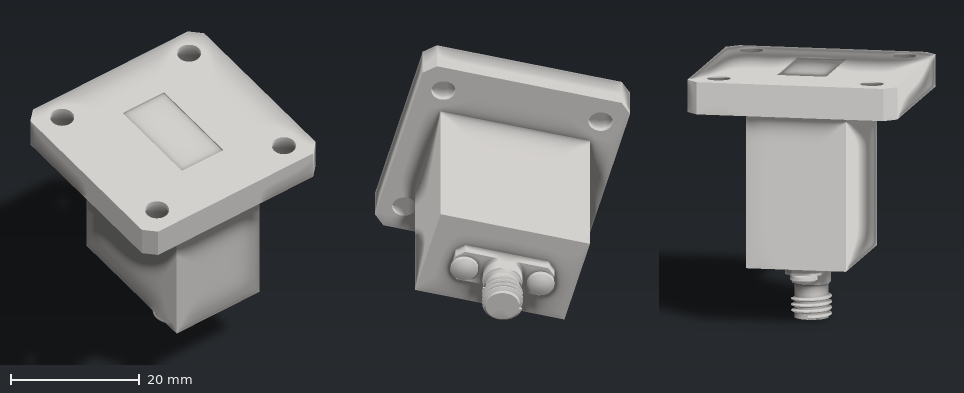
import cadquery as cq

FLANGE_SIDE = 33.35
FLANGE_THICKNESS = 5.1
FLANGE_CORNER = 1.8
HOLE_DIAMETER = 3.75
HOLE_SPACING_X = 25.28
HOLE_SPACING_Y = 24.35

OPENING_LENGTH = 15.8
OPENING_WIDTH = 7.9
OPENING_DEPTH = 0.28

BLOCK_LENGTH = 24.0
BLOCK_WIDTH = 15.88
BLOCK_HEIGHT = 24.9

PLATE_LENGTH = 15.88
PLATE_WIDTH = 5.7
PLATE_THICKNESS = 1.65
PLATE_CORNER = 1.25
SCREW_SPACING = 12.25
SCREW_RADIUS = 2.15
SCREW_RIM_HEIGHT = 0.83
SCREW_DOME_HEIGHT = 0.75
SCREW_CHAMFER = 0.2

TOTAL_HEIGHT = 39.5
BOSS_RADIUS = 3.1
BOSS_HEIGHT = 2.3
BARREL_RADIUS = 2.65
NECK_RADIUS = BOSS_RADIUS - BARREL_RADIUS
FLARE_SIZE = 0.2

THREAD_RADIUS = 3.15
THREAD_RISE = 3.25
THREAD_TURNS = 3.5
THREAD_ROOT_WIDTH = 0.67
THREAD_CREST_WIDTH = 0.15
THREAD_START_ANGLE = 180
THREAD_START = 0.35
THREAD_OVERLAP = 0.1
FUSE_TOLERANCE = 0.001

BLOCK_TOP = -FLANGE_THICKNESS
PLATE_TOP = BLOCK_TOP - BLOCK_HEIGHT
PLATE_BOTTOM = PLATE_TOP - PLATE_THICKNESS
BOSS_BOTTOM = PLATE_BOTTOM - BOSS_HEIGHT
BARREL_END = -TOTAL_HEIGHT


def slab(length, width, top, height):
    """Centred rectangular block hanging down from the given level."""
    return cq.Workplane("XY", origin=(0, 0, top)).rect(length, width).extrude(-height)


def make_flange():
    flange = slab(FLANGE_SIDE, FLANGE_SIDE, 0, FLANGE_THICKNESS)
    flange = flange.edges("|Z").chamfer(FLANGE_CORNER)
    holes = (
        cq.Workplane("XY")
        .rect(HOLE_SPACING_X, HOLE_SPACING_Y, forConstruction=True)
        .vertices()
        .circle(HOLE_DIAMETER / 2)
        .extrude(-FLANGE_THICKNESS)
    )
    opening = slab(OPENING_LENGTH, OPENING_WIDTH, 0, OPENING_DEPTH)
    return flange.cut(holes).cut(opening)


def make_plate():
    plate = slab(PLATE_LENGTH, PLATE_WIDTH, PLATE_TOP, PLATE_THICKNESS)
    return plate.edges("|Z").chamfer(PLATE_CORNER)


def make_screw_head(x):
    """Low rim with a chamfered upper edge and a spherical dome facing down."""
    rim_bottom = -SCREW_RIM_HEIGHT
    dome_bottom = rim_bottom - SCREW_DOME_HEIGHT
    sphere_radius = (SCREW_RADIUS**2 + SCREW_DOME_HEIGHT**2) / (2 * SCREW_DOME_HEIGHT)
    mid_radius = SCREW_RADIUS / 2
    mid_level = dome_bottom + sphere_radius - (sphere_radius**2 - mid_radius**2) ** 0.5
    return (
        cq.Workplane("XZ")
        .lineTo(SCREW_RADIUS - SCREW_CHAMFER, 0)
        .lineTo(SCREW_RADIUS, -SCREW_CHAMFER)
        .lineTo(SCREW_RADIUS, rim_bottom)
        .threePointArc((mid_radius, mid_level), (0, dome_bottom))
        .close()
        .revolve(360, (0, 0, 0), (0, 1, 0))
        .translate((x, 0, PLATE_BOTTOM))
    )


def make_connector_body():
    """Stepped round body flared at the plate, with two flats flush with the plate sides."""
    flare_bottom = PLATE_BOTTOM - FLARE_SIZE
    neck_bottom = BOSS_BOTTOM - NECK_RADIUS
    body = (
        cq.Workplane("XZ")
        .moveTo(0, PLATE_BOTTOM)
        .lineTo(BOSS_RADIUS + FLARE_SIZE, PLATE_BOTTOM)
        .lineTo(BOSS_RADIUS, flare_bottom)
        .lineTo(BOSS_RADIUS, BOSS_BOTTOM)
        .radiusArc((BARREL_RADIUS, neck_bottom), -NECK_RADIUS)
        .lineTo(BARREL_RADIUS, BARREL_END)
        .lineTo(0, BARREL_END)
        .close()
        .revolve(360, (0, 0, 0), (0, 1, 0))
    )
    body_height = PLATE_BOTTOM - BARREL_END
    flats = slab(PLATE_LENGTH, PLATE_WIDTH, PLATE_BOTTOM, body_height)
    return body.intersect(flats)


def make_thread():
    """Right-hand ridge that starts on the -X side and climbs towards the boss."""
    root_radius = BARREL_RADIUS - THREAD_OVERLAP
    root = THREAD_ROOT_WIDTH / 2
    crest = THREAD_CREST_WIDTH / 2
    helix = cq.Wire.makeHelix(THREAD_RISE / THREAD_TURNS, THREAD_RISE, BARREL_RADIUS)
    ridge = (
        cq.Workplane("XZ")
        .polyline([
            (root_radius, -root),
            (BARREL_RADIUS, -root),
            (THREAD_RADIUS, -crest),
            (THREAD_RADIUS, crest),
            (BARREL_RADIUS, root),
            (root_radius, root),
        ])
        .close()
        .sweep(cq.Workplane(helix), isFrenet=True)
    )
    ridge = ridge.rotate((0, 0, 0), (0, 0, 1), THREAD_START_ANGLE)
    return ridge.translate((0, 0, BARREL_END + THREAD_START))


result = make_flange().union(slab(BLOCK_LENGTH, BLOCK_WIDTH, BLOCK_TOP, BLOCK_HEIGHT))
result = result.union(make_plate())
for screw_x in (-SCREW_SPACING / 2, SCREW_SPACING / 2):
    result = result.union(make_screw_head(screw_x))
connector = make_connector_body().union(make_thread(), tol=FUSE_TOLERANCE)
result = result.union(connector)